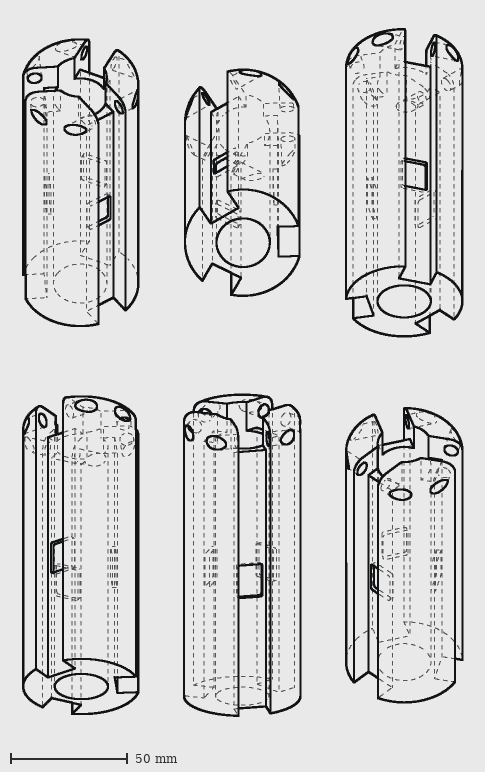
import cadquery as cq

height = 130.0
outer_radius = 25.02
bore_radius = 11.5
top_rounding = 5.0

slot_count = 3
slot_step = 360 / slot_count
slot_width = 14.0
slot_floor = 15.0
wall_drop = 13.0

hole_diameter = 6.0
hole_offset = 19.0
hole_drop = 6.5

pocket_width = 11.0
pocket_height = 14.8
pocket_middle = 57.7
pocket_depth = 2.0
pocket_corner = 1.0


def make_tube():
    rod = cq.Workplane("XY").circle(outer_radius).extrude(height)
    rod = rod.faces(">Z").edges().fillet(top_rounding)
    bore = cq.Workplane("XY").circle(bore_radius).extrude(height)
    return rod.cut(bore)


def slot_cutter():
    """Full-length slot, deepened to the tube axis at the top."""
    slot = cq.Workplane("XY").box(
        outer_radius, slot_width, height, centered=(False, True, False)
    ).translate((slot_floor, 0, 0))
    opening = cq.Workplane("XY").box(
        outer_radius, slot_width, wall_drop, centered=(False, True, False)
    ).translate((0, 0, height - wall_drop))
    return slot.union(opening)


def cross_hole_cutter():
    return (
        cq.Workplane("XZ")
        .center(hole_offset, height - hole_drop)
        .circle(hole_diameter / 2)
        .extrude(outer_radius, both=True)
    )


def pocket_cutter():
    return (
        cq.Workplane("YZ", origin=(slot_floor, 0, pocket_middle))
        .rect(pocket_width, pocket_height)
        .extrude(-pocket_depth)
        .edges("|X")
        .fillet(pocket_corner)
    )


result = make_tube()
for cutter in (slot_cutter(), cross_hole_cutter(), pocket_cutter()):
    for index in range(slot_count):
        turned = cutter.rotate((0, 0, 0), (0, 0, 1), index * slot_step)
        result = result.cut(turned)